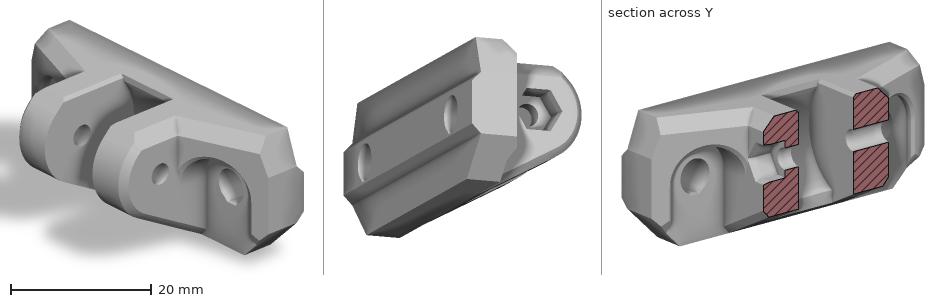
import cadquery as cq
import math


length = 50.0
height = 20.0
half_length = length / 2
base_depth = 5.1
wing_end_depth = 5.5
wing_root_depth = 10.65
top_chamfer = 2.0
end_taper_width = 2.0
end_corner = 5.5

tongue_depth = 1.35
tongue_half_height = height / 2 - end_corner

hinge_half_width = 11.5
pin_y = -14.0
pin_z = 13.0
knuckle_radius = 7.15
knuckle_front_y = pin_y - knuckle_radius
knuckle_chamfer = 1.05
pin_diameter = 3.3

nut_y = pin_y - 0.15
nut_mouth_flats = 6.0
nut_mouth_length = 7.3
nut_inset = 0.2
nut_depth = 4.0
nut_lead_in = 1.25

slot_half_width = 5.0
slot_radius = 10.0
slot_top_y = -6.0
slot_bottom_y = -9.25
slot_chamfer = 0.5

screw_x = 16.75
screw_z = height / 2
screw_radius = 2.65
screw_flat_drop = 2.8
screw_flat_width = 1.7
screw_flank_angle = math.radians(58)
pocket_radius = screw_x - hinge_half_width
pocket_chamfer = 0.5

relief_angle = math.radians(60)
relief_z = 2.6
relief_depth = 2.0


def box(x_min, x_max, y_min, y_max, z_min, z_max):
    """Axis-aligned box between the given limits."""
    size = (x_max - x_min, y_max - y_min, z_max - z_min)
    return cq.Workplane("XY").box(*size, centered=False).translate((x_min, y_min, z_min))


def both_sides(shape):
    """The shape together with its mirror image across X = 0."""
    return shape.union(shape.mirror("YZ"))


def screw_pocket(depth):
    """Round-topped pocket, open at the underside, reaching forward from the base depth."""
    return (
        cq.Workplane("XZ", origin=(screw_x, -base_depth, screw_z))
        .moveTo(-pocket_radius, -height)
        .lineTo(-pocket_radius, 0)
        .threePointArc((0, pocket_radius), (pocket_radius, 0))
        .lineTo(pocket_radius, -height)
        .close()
        .extrude(depth)
    )


def screw_hole():
    """Hole along Y whose round wall gives way to sloped flanks and a narrow flat at the bottom."""
    flank_x = screw_radius * math.cos(screw_flank_angle)
    flank_z = -screw_radius * math.sin(screw_flank_angle)
    return (
        cq.Workplane("XZ", origin=(screw_x, 0, screw_z))
        .moveTo(-screw_flat_width / 2, -screw_flat_drop)
        .lineTo(-flank_x, flank_z)
        .threePointArc((0, screw_radius), (flank_x, flank_z))
        .lineTo(screw_flat_width / 2, -screw_flat_drop)
        .close()
        .extrude(height, both=True)
    )


def end_trim():
    """Material removed at the +X end: tapered top, corner cut and pocket-side relief."""
    taper = [
        (half_length, height - end_corner),
        (half_length, height),
        (half_length - end_taper_width, height),
    ]
    corner = [(half_length, end_corner), (half_length, 0), (half_length - end_corner, 0)]
    relief_rise = relief_depth * math.tan(relief_angle)
    relief = [
        (-base_depth, 0),
        (-base_depth, relief_z),
        (-base_depth - relief_depth, relief_z + relief_rise),
        (-base_depth - relief_depth, 0),
    ]
    trim = cq.Workplane("XZ").polyline(taper).close().extrude(height, both=True)
    trim = trim.union(cq.Workplane("XZ").polyline(corner).close().extrude(height, both=True))
    outer_side = cq.Workplane("YZ", origin=(screw_x, 0, 0))
    return trim.union(outer_side.polyline(relief).close().extrude(half_length))


def make_wing():
    """+X half of the base and its sloped wing, with the screw pocket and its chamfered mouth."""
    slope = (wing_root_depth - wing_end_depth) / (half_length - hinge_half_width)
    centre_depth = wing_end_depth + slope * half_length
    plan = [(0, 0), (half_length, 0), (half_length, -wing_end_depth), (0, -centre_depth)]
    wing = cq.Workplane("XY").polyline(plan).close().extrude(height)

    middle = (half_length / 2, -(wing_end_depth + centre_depth) / 2, height)
    wing = wing.edges(cq.selectors.NearestToPointSelector(middle)).chamfer(top_chamfer)

    wing = wing.cut(screw_pocket(centre_depth))
    mouth_y = -(wing_end_depth + slope * (half_length - screw_x))
    mouth_top = (screw_x, mouth_y, screw_z + pocket_radius)
    mouth_edge = cq.selectors.NearestToPointSelector(mouth_top)
    mouth_side_y = mouth_y + slope * pocket_radius
    mouth_side = (screw_x + pocket_radius, mouth_side_y, screw_z / 2)
    side_edge = cq.selectors.NearestToPointSelector(mouth_side)
    wing = wing.edges(cq.selectors.SumSelector(mouth_edge, side_edge)).chamfer(pocket_chamfer)
    return wing.cut(end_trim())


def hinge_profile():
    """Side shape of the knuckles: an arc about the pin with tangent lines to the top and the foot."""
    foot_y = -base_depth
    foot_distance = math.hypot(foot_y - pin_y, pin_z)
    foot_direction = math.atan2(-pin_z, foot_y - pin_y)
    lower_angle = foot_direction - math.acos(knuckle_radius / foot_distance)
    lower_tangent = (
        pin_y + knuckle_radius * math.cos(lower_angle),
        pin_z + knuckle_radius * math.sin(lower_angle),
    )
    upper_offset = knuckle_radius * math.sqrt(0.5)
    upper_tangent = (pin_y - upper_offset, pin_z + upper_offset)
    top_front_y = upper_tangent[0] + height - upper_tangent[1]
    return (
        cq.Workplane("YZ")
        .moveTo(0, 0)
        .lineTo(foot_y, 0)
        .lineTo(*lower_tangent)
        .threePointArc((knuckle_front_y, pin_z), upper_tangent)
        .lineTo(top_front_y, height)
        .lineTo(0, height)
        .close()
    )


def make_envelope():
    """Outer limits of base and hinge, with the front rim of the hinge chamfered."""
    hinge = hinge_profile().extrude(hinge_half_width, both=True)
    edge_margin = 0.05
    front_edges = cq.selectors.BoxSelector(
        (-half_length, 2 * knuckle_front_y, edge_margin),
        (half_length, -base_depth, height - edge_margin),
    )
    hinge = hinge.faces("<X or >X").edges(front_edges).chamfer(knuckle_chamfer)
    base = box(-half_length, half_length, -base_depth, 0, 0, height)
    wing_room = box(hinge_half_width, half_length, knuckle_front_y, 0, 0, height)
    return hinge.union(base).union(both_sides(wing_room))


def make_hinge_block():
    """Block for the knuckles with chamfered upper side edges."""
    block = box(-hinge_half_width, hinge_half_width, knuckle_front_y, 0, 0, height)
    return block.faces(">Z").edges("|Y").chamfer(top_chamfer)


def make_slot():
    """Slot between the knuckles, including the chamfer along its upper edges."""
    back_y = pin_y + slot_radius
    top_z = pin_z + math.sqrt(slot_radius**2 - (slot_top_y - pin_y) ** 2)
    bottom_z = pin_z - math.sqrt(slot_radius**2 - (slot_bottom_y - pin_y) ** 2)
    slot = (
        cq.Workplane("YZ")
        .moveTo(2 * knuckle_front_y, 0)
        .lineTo(slot_bottom_y, 0)
        .lineTo(slot_bottom_y, bottom_z)
        .threePointArc((back_y, pin_z), (slot_top_y, top_z))
        .lineTo(slot_top_y, height)
        .lineTo(2 * knuckle_front_y, height)
        .close()
        .extrude(slot_half_width, both=True)
    )
    upper_half_width = slot_half_width + slot_chamfer
    flare = [
        (-upper_half_width, height),
        (upper_half_width, height),
        (slot_half_width, height - slot_chamfer),
        (-slot_half_width, height - slot_chamfer),
    ]
    flare_start = cq.Workplane("XZ", origin=(0, slot_top_y, 0))
    return slot.union(flare_start.polyline(flare).close().extrude(height))


def nut_outline(workplane, inset):
    """Hexagon with flats at top and bottom, drawn smaller than the nut mouth by the inset."""
    half_length_y = nut_mouth_length / 2 - inset
    half_height_z = nut_mouth_flats / 2 - inset
    half_flat = half_length_y / 2
    corners = [
        (half_length_y, 0),
        (half_flat, half_height_z),
        (-half_flat, half_height_z),
        (-half_length_y, 0),
        (-half_flat, -half_height_z),
        (half_flat, -half_height_z),
    ]
    return workplane.polyline(corners).close()


def make_nut_pocket():
    """Hexagonal pocket that widens towards its mouth."""
    mouth = cq.Workplane("YZ", origin=(-hinge_half_width, nut_y, pin_z))
    pocket = nut_outline(mouth, nut_inset).extrude(nut_depth)
    lead_in_floor = nut_outline(mouth, 0).workplane(offset=nut_lead_in)
    return pocket.union(nut_outline(lead_in_floor, nut_inset).loft())


def make_tongue():
    """Tongue with 45 degree flanks along the whole back of the base."""
    tip_half_height = tongue_half_height - tongue_depth
    middle_z = height / 2
    outline = [
        (0, middle_z - tongue_half_height),
        (tongue_depth, middle_z - tip_half_height),
        (tongue_depth, middle_z + tip_half_height),
        (0, middle_z + tongue_half_height),
    ]
    return cq.Workplane("YZ").polyline(outline).close().extrude(half_length, both=True)


pin_axis = cq.Workplane("YZ", origin=(0, pin_y, pin_z))
pin_hole = pin_axis.circle(pin_diameter / 2).extrude(half_length, both=True)

body = both_sides(make_wing()).union(make_hinge_block()).intersect(make_envelope())
body = body.union(make_tongue()).cut(make_slot())
result = body.cut(both_sides(screw_hole())).cut(pin_hole).cut(make_nut_pocket())